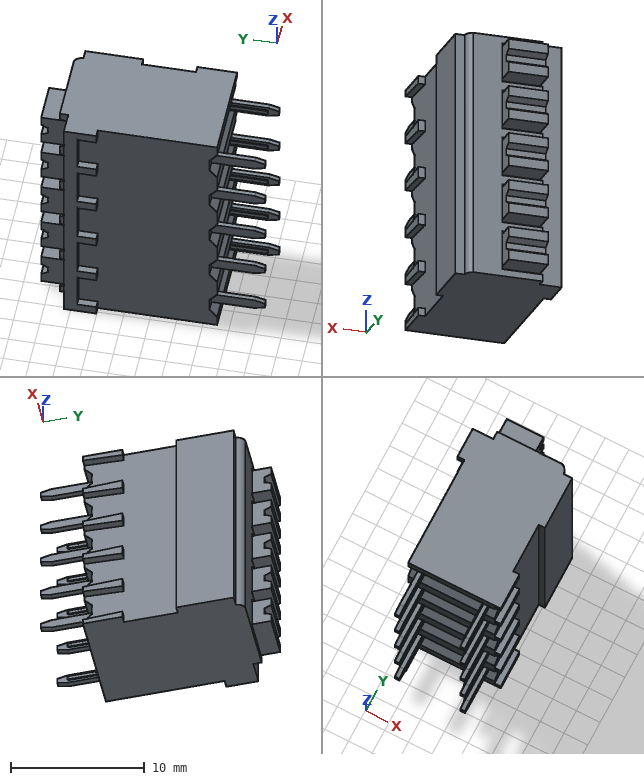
import cadquery as cq


pole_count = 5
pole_pitch = 3.81
height = 19.44
first_pole_z = (height - (pole_count - 1) * pole_pitch) / 2
pole_heights = [first_pole_z + i * pole_pitch for i in range(pole_count)]

housing_width = 7.81
shoulder_y = 11.57

ridge_start_x = 1.15
ridge_end_x = 7.08
ridge_top_y = 12.2
ridge_rise = ridge_top_y - shoulder_y
ridge_corner_radius = 0.68

button_start_x = 1.2
button_end_x = 4.32
button_top_y = 13.65
button_thickness = 2.65
notch_depth = 0.52
notch_mouth = 1.09
notch_floor = 0.5
slot_width = 2.8
slot_mouth = 3.11
slot_flare_depth = 0.27

rim_projection = 0.58
rim_front_y = 10.55
tab_front_y = 9.1
tab_thickness = 0.72

channel_depth = 0.52
channel_start_y = 3.03
channel_end_y = 7.15
pocket_front_width = 3.27
pocket_back_width = 2.95

groove_depth = 0.58
groove_mouth = 2.45
groove_floor = 1.01

pin_root_y = groove_depth
pin_tip_y = -3.5
pin_taper_y = -2.7
pin_thickness = 0.39
pin_height = 0.85
pin_tip_height = 0.43
bead_height = 0.35
bead_projection = 0.1
near_pin_x = 0.7
far_pin_x = 6.6


def box(x, y, z):
    """Box spanning the given (low, high) ranges along X, Y and Z."""
    size = (x[1] - x[0], y[1] - y[0], z[1] - z[0])
    return cq.Workplane("XY").box(*size, centered=False).translate((x[0], y[0], z[0]))


def trapezoid(x, y, z_center, first_width, last_width):
    """Prism along X whose Z width goes from first_width at y[0] to last_width at y[1]."""
    outline = [
        (y[0], z_center - first_width / 2),
        (y[1], z_center - last_width / 2),
        (y[1], z_center + last_width / 2),
        (y[0], z_center + first_width / 2),
    ]
    return cq.Workplane("YZ").workplane(offset=x[0]).polyline(outline).close().extrude(x[1] - x[0])


def make_housing():
    """Full-height block with the back ridge and the side channel."""
    arc_center_x = ridge_end_x - ridge_corner_radius
    arc_reach = (ridge_corner_radius**2 - ridge_rise**2) ** 0.5
    mid_y = ridge_rise / 2
    mid_x = (ridge_corner_radius**2 - mid_y**2) ** 0.5
    channel_floor_x = housing_width - channel_depth
    return (
        cq.Workplane("XY")
        .moveTo(0, 0)
        .lineTo(housing_width, 0)
        .lineTo(housing_width, channel_start_y)
        .lineTo(channel_floor_x, channel_start_y)
        .lineTo(channel_floor_x, channel_end_y)
        .lineTo(housing_width, channel_end_y)
        .lineTo(housing_width, shoulder_y)
        .lineTo(ridge_end_x, shoulder_y)
        .threePointArc(
            (arc_center_x + mid_x, shoulder_y + mid_y),
            (arc_center_x + arc_reach, ridge_top_y),
        )
        .lineTo(ridge_start_x, ridge_top_y)
        .lineTo(ridge_start_x, shoulder_y)
        .lineTo(0, shoulder_y)
        .close()
        .extrude(height)
    )


def make_rim():
    """Rim along the back edge of the side face, with tabs between the poles and at both ends."""
    side = (-rim_projection, 0)
    rim = box(side, (rim_front_y, shoulder_y), (0, height))
    tab_bottoms = [z + (pole_pitch - tab_thickness) / 2 for z in pole_heights[:-1]]
    for z in [0, *tab_bottoms, height - tab_thickness]:
        rim = rim.union(box(side, (tab_front_y, rim_front_y), (z, z + tab_thickness)))
    return rim


def make_groove(z):
    """V-sided groove with a flat floor, across the pin-side face."""
    return trapezoid((0, housing_width), (0, groove_depth), z, groove_mouth, groove_floor)


def make_pocket(z):
    """Side pocket from the pin-side face to the channel, narrowing inwards."""
    x = (housing_width - channel_depth, housing_width)
    return trapezoid(x, (0, channel_start_y), z, pocket_front_width, pocket_back_width)


def make_button_slot(z):
    """Slot through the ridge, flaring at its mouth."""
    x = (ridge_start_x, button_end_x)
    half = slot_width / 2
    straight = box(x, (shoulder_y, ridge_top_y), (z - half, z + half))
    flare = trapezoid(x, (ridge_top_y - slot_flare_depth, ridge_top_y), z, slot_width, slot_mouth)
    return straight.union(flare)


def make_button(z):
    """Push button with a screwdriver notch across its end."""
    x = (button_start_x, button_end_x)
    half = button_thickness / 2
    body = box(x, (shoulder_y, button_top_y), (z - half, z + half))
    notch = trapezoid(x, (button_top_y - notch_depth, button_top_y), z, notch_floor, notch_mouth)
    return body.cut(notch)


def make_pin(x, z, bead_side):
    """Flat pin with a tapered tip and a round-ended bead along the face given by bead_side (+1 or -1)."""
    span = (x, x + pin_thickness)
    shank = trapezoid(span, (pin_taper_y, pin_root_y), z, pin_height, pin_height)
    tip = trapezoid(span, (pin_tip_y, pin_taper_y), z, pin_tip_height, pin_height)
    reach = pin_thickness / 2 + bead_projection
    half = bead_height / 2
    bead = (
        cq.Workplane("YZ")
        .workplane(offset=x + pin_thickness / 2)
        .moveTo(pin_root_y, z - half)
        .lineTo(pin_taper_y + half, z - half)
        .threePointArc((pin_taper_y, z), (pin_taper_y + half, z + half))
        .lineTo(pin_root_y, z + half)
        .close()
        .extrude(bead_side * reach)
    )
    return shank.union(tip).union(bead)


result = make_housing().union(make_rim())
for pole_z in pole_heights:
    result = result.cut(make_groove(pole_z)).cut(make_pocket(pole_z)).cut(make_button_slot(pole_z))
    result = result.union(make_button(pole_z))
    result = result.union(make_pin(near_pin_x, pole_z, 1))
    result = result.union(make_pin(far_pin_x - pin_thickness, pole_z, -1))